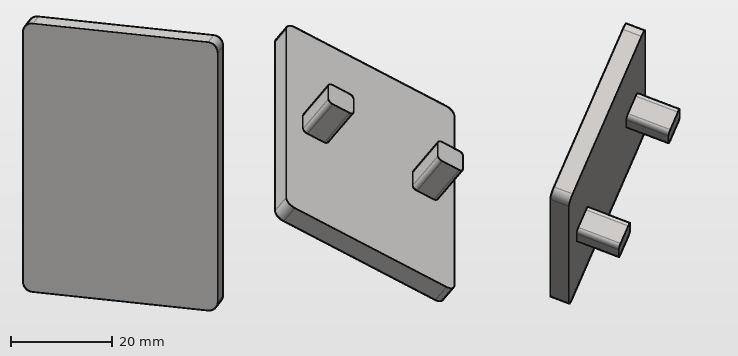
import cadquery as cq

PLATE_WIDTH = 40.0
PLATE_HEIGHT = 57.0
PLATE_THICKNESS = 4.0
PLATE_CORNER_RADIUS = 2.0

TOTAL_DEPTH = 13.0
POST_LENGTH = TOTAL_DEPTH - PLATE_THICKNESS
POST_SIDE = 6.0
POST_CORNER_RADIUS = 1.0
POST_SPACING = 26.0


def rounded_bar(width, height, length, corner_radius):
    """Bar along +Y from Y = 0, centred on X and Z, with its long edges rounded."""
    bar = cq.Workplane("XY").box(width, length, height, centered=(True, False, True))
    return bar.edges("|Y").fillet(corner_radius)


def make_plate():
    return rounded_bar(PLATE_WIDTH, PLATE_HEIGHT, PLATE_THICKNESS, PLATE_CORNER_RADIUS)


def make_post(x_center):
    post = rounded_bar(POST_SIDE, POST_SIDE, POST_LENGTH, POST_CORNER_RADIUS)
    return post.translate((x_center, PLATE_THICKNESS, 0))


result = make_plate()
for x_center in (-POST_SPACING / 2, POST_SPACING / 2):
    result = result.union(make_post(x_center))